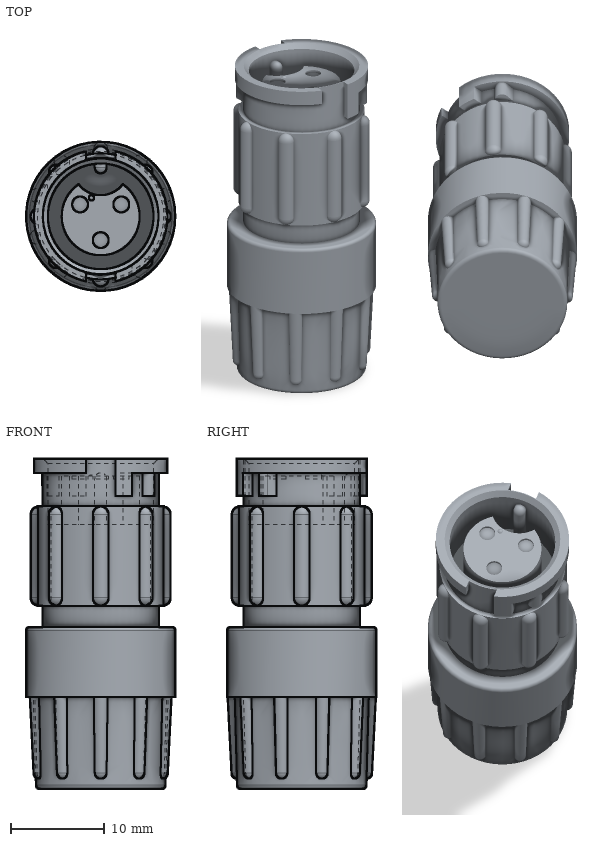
import cadquery as cq
import math

HEIGHT = 35.43
SHOULDER_Z = 9.85
COUPLING_TOP_Z = 17.35
RING_BOTTOM_Z = 19.63
RING_TOP_Z = 30.33
LUG_BOTTOM_Z = 31.43
FLANGE_BOTTOM_Z = 33.87
INSERT_TOP_Z = 33.55
SOCKET_FLOOR_Z = 28.35

BOTTOM_R = 6.95
SHOULDER_R = 7.23
COUPLING_R = 8.0
BARREL_R = 6.27
RING_R = 6.75
FLANGE_R = 7.15
COUPLING_FILLET = 0.35
BOTTOM_FILLET = 0.43

SOCKET_R = 5.67
SOCKET_CHAMFER = 0.53
INSERT_R = 4.18
CONTACT_COUNT = 3
CONTACT_CIRCLE_R = 2.55
FIRST_CONTACT_ANGLE = 30.0
CONTACT_R = 0.85
CONTACT_DEPTH = 0.3
MARK_X = -1.0
MARK_Y = 2.0
MARK_R = 0.35
MARK_SINK = 0.2
PIN_Y = 5.25
PIN_R = 0.65
PIN_TOP_Z = 33.9
PIN_CLEARANCE_R = 2.98

SLOT_HALF_WIDTH = 1.6
LUG_END_X = 3.35
STOP_R = 0.78
STOP_ANGLE = 37.2
STOP_FOOT_ANGLE = 25.5
STOP_FLANK_TILT = 9.0

RING_RIB_COUNT = 8
RING_RIB_R = 0.85
RING_RIB_AXIS_R = 6.65
RING_RIB_LOW_Z = 20.5
RING_RIB_HIGH_Z = 29.45

LOWER_RIB_COUNT = 10
COUPLING_OVERLAP = 0.18
LOWER_RIB_END_Z = 1.75
LOWER_RIB_END_R = 0.65
LOWER_RIB_END_AXIS_R = 6.9
LOWER_RIB_TOP_R = 0.75
LOWER_RIB_TOP_AXIS_R = 7.23
LOWER_RIB_TOP_Z = SHOULDER_Z + COUPLING_OVERLAP


def cylinder(radius, low_z, high_z, x=0.0, y=0.0):
    """Upright cylinder between two heights."""
    return cq.Workplane("XY", origin=(x, y, low_z)).circle(radius).extrude(high_z - low_z)


def sphere(radius, x, y, z):
    return cq.Workplane("XY", origin=(x, y, z)).sphere(radius)


def polar(radius, angle):
    """Point at a radius and an angle in degrees from +X."""
    turn = math.radians(angle)
    return radius * math.cos(turn), radius * math.sin(turn)


def around_axis(shape, angle):
    return shape.rotate((0, 0, 0), (0, 0, 1), angle)


def lower_body():
    cone = (
        cq.Workplane("XY")
        .circle(BOTTOM_R)
        .workplane(offset=SHOULDER_Z)
        .circle(SHOULDER_R)
        .loft()
        .faces("<Z")
        .edges()
        .fillet(BOTTOM_FILLET)
    )
    coupling = cylinder(COUPLING_R, SHOULDER_Z, COUPLING_TOP_Z)
    return cone.union(coupling.faces(">Z").edges().fillet(COUPLING_FILLET))


def upper_body():
    barrel = cylinder(BARREL_R, COUPLING_TOP_Z, HEIGHT)
    return barrel.union(cylinder(RING_R, RING_BOTTOM_Z, RING_TOP_Z))


def ring_rib():
    """Round rib with domed ends, on the +Y side."""
    rib = cylinder(RING_RIB_R, RING_RIB_LOW_Z, RING_RIB_HIGH_Z, y=RING_RIB_AXIS_R)
    for end_z in (RING_RIB_LOW_Z, RING_RIB_HIGH_Z):
        rib = rib.union(sphere(RING_RIB_R, 0, RING_RIB_AXIS_R, end_z))
    return rib


def lower_rib():
    """Rib that narrows and leans inward toward its domed lower end, on the +Y side."""
    end = cq.Vector(0, LOWER_RIB_END_AXIS_R, LOWER_RIB_END_Z)
    axis = cq.Vector(0, LOWER_RIB_TOP_AXIS_R, LOWER_RIB_TOP_Z) - end
    tilt = math.degrees(math.atan2(axis.y, axis.z))
    rib = (
        cq.Workplane("XZ")
        .moveTo(0, -LOWER_RIB_END_R)
        .threePointArc(polar(LOWER_RIB_END_R, -45), (LOWER_RIB_END_R, 0))
        .lineTo(LOWER_RIB_TOP_R, axis.Length)
        .lineTo(0, axis.Length)
        .close()
        .revolve(360, (0, 0), (0, 1))
    )
    return rib.rotate((0, 0, 0), (1, 0, 0), -tilt).translate(end)


def bayonet_flange():
    """Rim around the mouth with an entry slot, a hanging lug and a stop toward the +Y and -Y sides."""
    rim = cylinder(FLANGE_R, FLANGE_BOTTOM_Z, HEIGHT)
    lug_width = LUG_END_X - SLOT_HALF_WIDTH
    lug_height = FLANGE_BOTTOM_Z - LUG_BOTTOM_Z
    slot = cq.Workplane("XY").box(
        2 * SLOT_HALF_WIDTH, 2 * FLANGE_R, HEIGHT - FLANGE_BOTTOM_Z, centered=(True, True, False)
    )
    rim = rim.cut(slot.translate((0, 0, FLANGE_BOTTOM_Z)))
    lug = (
        cq.Workplane("XY", origin=(-LUG_END_X, 0, LUG_BOTTOM_Z))
        .box(lug_width, FLANGE_R, lug_height, centered=False)
        .intersect(cylinder(FLANGE_R, LUG_BOTTOM_Z, FLANGE_BOTTOM_Z))
    )
    for detail in (lug, bayonet_stop()):
        rim = rim.union(detail).union(around_axis(detail, 180))
    return rim


def bayonet_stop():
    """Half-round stop under the rim with a flat flank, on the -X side."""
    center_x, center_y = polar(BARREL_R, 180 - STOP_ANGLE)
    flank_x, flank_y = polar(STOP_R, 180 + STOP_FLANK_TILT)
    foot = polar(BARREL_R, 180 - STOP_FOOT_ANGLE)
    flank = (
        cq.Workplane("XY", origin=(0, 0, LUG_BOTTOM_Z))
        .moveTo(center_x, center_y)
        .lineTo(center_x + flank_x, center_y + flank_y)
        .lineTo(*foot)
        .lineTo(0, 0)
        .close()
        .extrude(FLANGE_BOTTOM_Z - LUG_BOTTOM_Z)
    )
    return flank.union(cylinder(STOP_R, LUG_BOTTOM_Z, FLANGE_BOTTOM_Z, center_x, center_y))


def socket():
    """Hollow of the mouth, with a chamfered rim."""
    return (
        cq.Workplane("XZ")
        .moveTo(0, SOCKET_FLOOR_Z)
        .lineTo(SOCKET_R, SOCKET_FLOOR_Z)
        .lineTo(SOCKET_R, HEIGHT - SOCKET_CHAMFER)
        .lineTo(SOCKET_R + SOCKET_CHAMFER, HEIGHT)
        .lineTo(0, HEIGHT)
        .close()
        .revolve(360, (0, 0), (0, 1))
    )


def insert():
    """Contact block with contact holes, a domed mark and a round relief around the key pin."""
    block = cylinder(INSERT_R, SOCKET_FLOOR_Z, INSERT_TOP_Z)
    block = block.cut(cylinder(PIN_CLEARANCE_R, SOCKET_FLOOR_Z, INSERT_TOP_Z, y=PIN_Y))
    for index in range(CONTACT_COUNT):
        x, y = polar(CONTACT_CIRCLE_R, FIRST_CONTACT_ANGLE + index * 360 / CONTACT_COUNT)
        block = block.cut(cylinder(CONTACT_R, INSERT_TOP_Z - CONTACT_DEPTH, INSERT_TOP_Z, x, y))
    return block.union(sphere(MARK_R, MARK_X, MARK_Y, INSERT_TOP_Z - MARK_SINK))


def key_pin():
    """Round-topped key standing on the socket floor and joined to the socket wall."""
    dome_z = PIN_TOP_Z - PIN_R
    web = (
        cq.Workplane("XZ", origin=(0, SOCKET_R, 0))
        .moveTo(-PIN_R, SOCKET_FLOOR_Z)
        .lineTo(PIN_R, SOCKET_FLOOR_Z)
        .lineTo(PIN_R, dome_z)
        .threePointArc((0, PIN_TOP_Z), (-PIN_R, dome_z))
        .close()
        .extrude(SOCKET_R - PIN_Y)
    )
    nose = cylinder(PIN_R, SOCKET_FLOOR_Z, dome_z, y=PIN_Y)
    return web.union(nose).union(sphere(PIN_R, 0, PIN_Y, dome_z))


result = lower_body().union(upper_body())
for index in range(RING_RIB_COUNT):
    result = result.union(around_axis(ring_rib(), index * 360 / RING_RIB_COUNT))
for index in range(LOWER_RIB_COUNT):
    result = result.union(around_axis(lower_rib(), index * 360 / LOWER_RIB_COUNT))
result = result.union(bayonet_flange()).cut(socket()).union(insert()).union(key_pin())